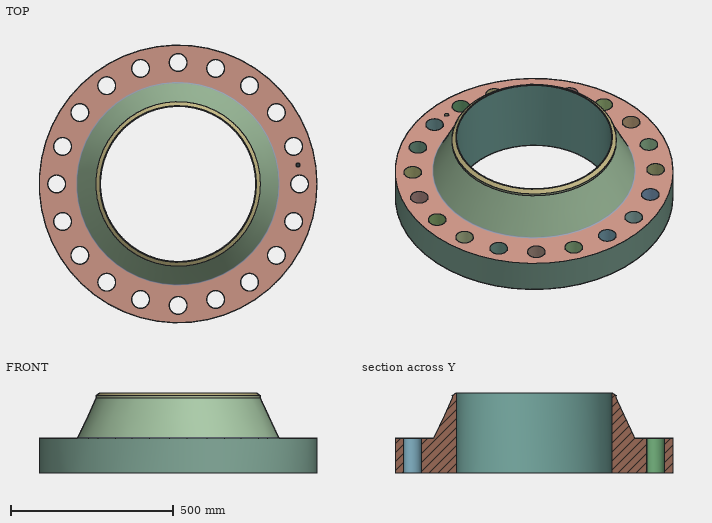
import cadquery as cq
import math

flange_diameter = 857.0
flange_thickness = 108.0
total_height = 248.0

hub_base_diameter = 622.0
neck_diameter = 507.0
bore_diameter = 478.0
neck_height = 8.0
land_width = 2.5
bevel_height = 8.5
hub_fillet_radius = 4.0

bolt_count = 20
bolt_circle_diameter = 749.0
bolt_hole_diameter = 54.0

pilot_hole_diameter = 13.0
pilot_hole_depth = 17.0
pilot_drill_diameter = 7.0
pilot_drill_depth = 26.0

bolt_circle_radius = bolt_circle_diameter / 2
bolt_pitch_angle = 360 / bolt_count
pilot_hole_angle = bolt_pitch_angle / 2


def make_body():
    """Flange, conical hub, short neck and weld bevel turned as one profile."""
    bore_radius = bore_diameter / 2
    flange_radius = flange_diameter / 2
    hub_base_radius = hub_base_diameter / 2
    neck_radius = neck_diameter / 2
    bevel_base = total_height - bevel_height
    hub_top = bevel_base - neck_height
    profile = [
        (bore_radius, 0),
        (flange_radius, 0),
        (flange_radius, flange_thickness),
        (hub_base_radius, flange_thickness),
        (neck_radius, hub_top),
        (neck_radius, bevel_base),
        (bore_radius + land_width, total_height),
        (bore_radius, total_height),
    ]
    axis_start = (0, 0)
    axis_end = (0, 1)
    body = cq.Workplane("XZ").polyline(profile).close().revolve(360, axis_start, axis_end)

    second_largest = cq.selectors.RadiusNthSelector(-2)
    return body.edges("%CIRCLE").edges(second_largest).fillet(hub_fillet_radius)


def make_bolt_holes():
    """Through holes, evenly spaced with the first one on +X."""
    return (
        cq.Workplane("XY")
        .polarArray(bolt_circle_radius, 0, 360, bolt_count)
        .circle(bolt_hole_diameter / 2)
        .extrude(flange_thickness)
    )


def make_pilot_hole():
    """Stepped blind hole sunk into the top face of the flange."""
    angle = math.radians(pilot_hole_angle)
    x = bolt_circle_radius * math.cos(angle)
    y = bolt_circle_radius * math.sin(angle)
    top_face = cq.Workplane("XY", origin=(x, y, flange_thickness))
    wide_step = top_face.circle(pilot_hole_diameter / 2).extrude(-pilot_hole_depth)
    narrow_step = top_face.circle(pilot_drill_diameter / 2).extrude(-pilot_drill_depth)
    return wide_step.union(narrow_step)


result = make_body().cut(make_bolt_holes()).cut(make_pilot_hole())